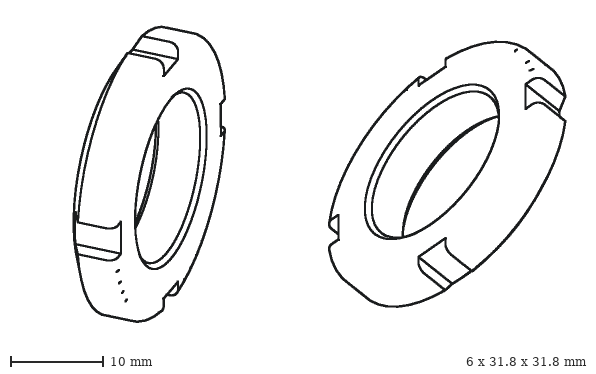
import cadquery as cq
import math

thickness = 6.0
overall_span = 31.75
slot_width = 4.0
slot_floor_radius = 13.95
slot_count = 4
face_diameter = 26.0
bevel_angle = 30.0
rim_round = 1.0
bore_diameter = 18.92
bore_mouth_diameter = 20.0

outer_radius = math.hypot(overall_span / 2, slot_width / 2)
face_radius = face_diameter / 2
bevel_depth = (outer_radius - face_radius) * math.tan(math.radians(bevel_angle))
bore_radius = bore_diameter / 2
mouth_radius = bore_mouth_diameter / 2
bore_chamfer = mouth_radius - bore_radius


def nut_body():
    """Revolve the ring section, with X along the axis and Y as radius."""
    arc_offset = rim_round * (1 - math.sqrt(0.5))
    return (
        cq.Workplane("XY")
        .moveTo(0, mouth_radius)
        .lineTo(0, face_radius)
        .lineTo(bevel_depth, outer_radius)
        .lineTo(thickness - rim_round, outer_radius)
        .threePointArc(
            (thickness - arc_offset, outer_radius - arc_offset),
            (thickness, outer_radius - rim_round),
        )
        .lineTo(thickness, mouth_radius)
        .lineTo(thickness - bore_chamfer, bore_radius)
        .lineTo(bore_chamfer, bore_radius)
        .close()
        .revolve(360, (0, 0, 0), (1, 0, 0))
    )


def slot_cutter(angle):
    """Flat-bottomed slot through the full thickness, open at the rim."""
    return (
        cq.Workplane("XY")
        .box(thickness, slot_width, outer_radius, centered=(False, True, False))
        .translate((0, 0, slot_floor_radius))
        .rotate((0, 0, 0), (1, 0, 0), angle)
    )


result = nut_body()
for index in range(slot_count):
    result = result.cut(slot_cutter(index * 360 / slot_count))